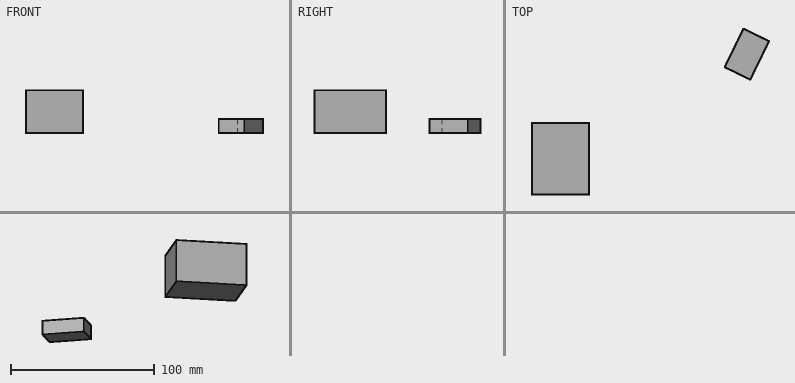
import cadquery as cq

LARGE_LENGTH_X = 40.0
LARGE_LENGTH_Y = 50.0
LARGE_HEIGHT = 30.0

SMALL_WIDTH = 20.0
SMALL_LENGTH = 30.0
SMALL_HEIGHT = 10.0
SMALL_CENTRE_X = 130.0
SMALL_CENTRE_Y = 73.0
SMALL_TURN = -26.0

BASE_Z = 0.0


def standing_block(size_x, size_y, height):
    """Plain block centred in X and Y, standing on the base level."""
    return cq.Workplane("XY", origin=(0, 0, BASE_Z)).box(
        size_x, size_y, height, centered=(True, True, False)
    )


def make_large_block():
    return standing_block(LARGE_LENGTH_X, LARGE_LENGTH_Y, LARGE_HEIGHT)


def make_small_block():
    """Small block, turned about its own centre and then moved into place."""
    block = standing_block(SMALL_WIDTH, SMALL_LENGTH, SMALL_HEIGHT)
    turned = block.rotate((0, 0, 0), (0, 0, 1), SMALL_TURN)
    return turned.translate((SMALL_CENTRE_X, SMALL_CENTRE_Y, 0))


large_block = make_large_block()
small_block = make_small_block()

result = cq.Compound.makeCompound([large_block.val(), small_block.val()])